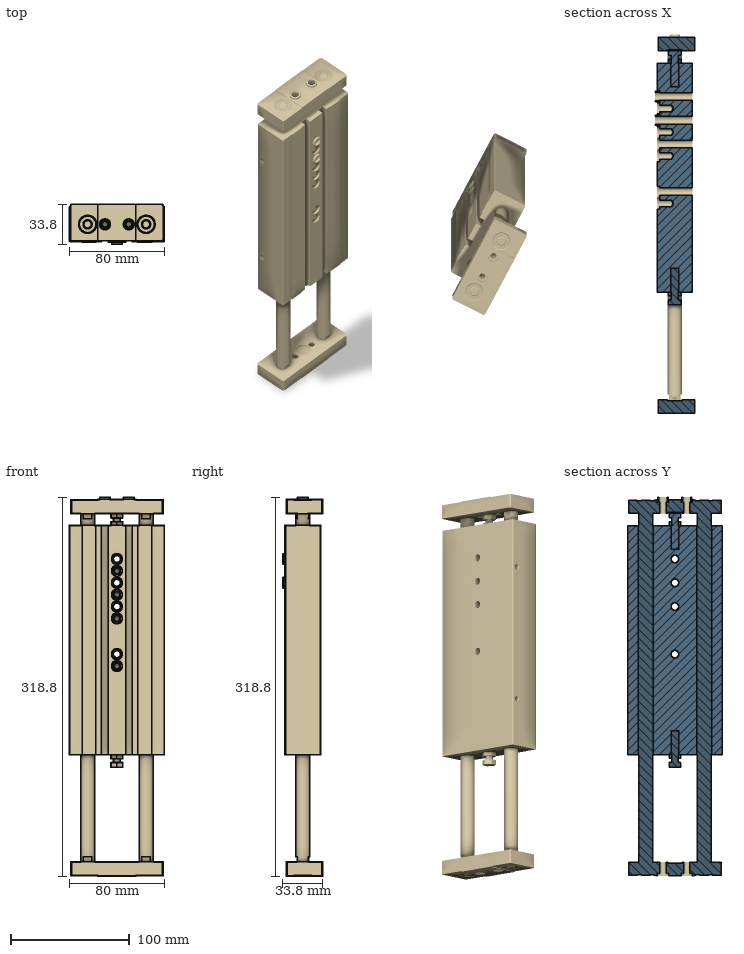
import cadquery as cq
import math

housing_width = 80.0
housing_depth = 30.0
housing_length = 193.0
corner_radius = 1.0
rail_half_width = 7.4
slot_outer_x = 13.0
slot_depth = 5.0
band_inner_x = 17.7
band_outer_x = 29.3
step_height = 0.5

through_hole_drops = (28.2, 48.2, 68.2, 108.2)
threaded_hole_drops = (38.2, 58.2, 78.2, 118.2)
sleeved_hole_drops = through_hole_drops[:2]
through_hole_diameter = 6.0
thread_core_diameter = 4.92
thread_mouth_diameter = 6.0
threaded_hole_depth = 10.0
drill_point_angle = 118.0

port_core_diameter = 4.13
port_mouth_diameter = 5.0
port_depth = 8.0
port_y = 9.8
port_drops = (40.2, 153.2)

rod_diameter = 12.0
rod_spacing = 49.2
flat_height = 4.3
flat_across = 9.7
top_gap = 10.0
bottom_gap = 90.0

yoke_width = 78.0
yoke_depth = 31.0
yoke_front = -14.0
yoke_thickness = 11.5
yoke_chamfer = 1.0
pad_width = 32.0
pad_height = 0.5
rod_end_seat_mouth = 15.0
rod_end_seat_floor = 14.0
rod_end_seat_depth = 0.5
rod_end_diameter = 8.0
rod_end_chamfer = 0.8
yoke_hole_spacing = 20.0
strike_diameter = 12.0
strike_depth = 0.7

sleeve_diameter = 9.0
sleeve_bore = 6.4
sleeve_length = 4.0
sleeve_protrusion = 1.8
sleeve_rim_radius = 0.8
sleeve_seat_depth = sleeve_length - sleeve_protrusion

bolt_diameter = 6.0
bolt_insertion = 20.0
hex_across_flats = 10.0
hex_across_corners = hex_across_flats / math.cos(math.pi / 6)
washer_face_diameter = 8.88
washer_face_height = 0.3
bolt_head_height = 4.0
nut_height = 3.2
bolt_stand_off = 10.4

housing_front = -housing_depth / 2
strip_face = housing_front + step_height
housing_end = housing_length / 2
top_yoke_inner = housing_end + top_gap
bottom_yoke_inner = -housing_end - bottom_gap
yoke_overall = yoke_thickness + pad_height
rod_xs = (-rod_spacing / 2, rod_spacing / 2)
yoke_hole_xs = (-yoke_hole_spacing / 2, yoke_hole_spacing / 2)


def round_bar(diameter, z_start, z_end, x=0.0):
    """Upright cylinder on the Y = 0 plane."""
    return (
        cq.Workplane("XY", origin=(x, 0, z_start))
        .circle(diameter / 2)
        .extrude(z_end - z_start)
    )


def block(x_range, y_range, z_range):
    """Box given by its two limits along each axis."""
    lows, highs = zip(*(sorted(limits) for limits in (x_range, y_range, z_range)))
    sizes = [high - low for low, high in zip(lows, highs)]
    return cq.Workplane("XY", origin=lows).box(*sizes, centered=False)


def blind_hole(core_diameter, mouth_diameter, depth):
    """Drilled hole running up +Z from the origin, with a 45 degree mouth and a drill point."""
    core_radius = core_diameter / 2
    mouth_radius = mouth_diameter / 2
    point_length = core_radius / math.tan(math.radians(drill_point_angle / 2))
    return (
        cq.Workplane("XZ")
        .moveTo(0, 0)
        .lineTo(mouth_radius, 0)
        .lineTo(core_radius, mouth_radius - core_radius)
        .lineTo(core_radius, depth)
        .lineTo(0, depth + point_length)
        .close()
        .revolve(360, (0, 0, 0), (0, 1, 0))
    )


def facing_front(shape, y, z):
    """Turn a shape's +Z axis to +Y and place its origin on the housing centre line."""
    return shape.rotate((0, 0, 0), (1, 0, 0), -90).translate((0, y, z))


def make_housing_profile_bar():
    """Housing bar with its raised rail, raised bands and sensor slots."""
    bar = block(
        (-housing_width / 2, housing_width / 2),
        (strip_face, housing_depth / 2),
        (-housing_end, housing_end),
    )
    bar = bar.edges("|Z").fillet(corner_radius)
    full_height = (-housing_end, housing_end)
    proud = (housing_front, strip_face)
    bar = bar.union(block((-rail_half_width, rail_half_width), proud, full_height))
    for side in (-1, 1):
        bar = bar.union(block((side * band_inner_x, side * band_outer_x), proud, full_height))
        slot = block(
            (side * rail_half_width, side * slot_outer_x),
            (strip_face, housing_front + slot_depth),
            full_height,
        )
        bar = bar.cut(slot)
    return bar


def make_housing():
    body = make_housing_profile_bar()
    seat = round_bar(sleeve_diameter, 0, sleeve_seat_depth)
    through_hole = round_bar(through_hole_diameter, 0, housing_depth)
    threaded_hole = blind_hole(thread_core_diameter, thread_mouth_diameter, threaded_hole_depth)
    for drop in through_hole_drops:
        body = body.cut(facing_front(through_hole, housing_front, housing_end - drop))
    for drop in threaded_hole_drops:
        hole_start = housing_front + sleeve_seat_depth
        body = body.cut(facing_front(threaded_hole, hole_start, housing_end - drop))
    for drop in through_hole_drops + threaded_hole_drops:
        body = body.cut(facing_front(seat, housing_front, housing_end - drop))

    port = blind_hole(port_core_diameter, port_mouth_diameter, port_depth)
    port = port.rotate((0, 0, 0), (0, 1, 0), 90)
    for drop in port_drops:
        body = body.cut(port.translate((-housing_width / 2, port_y, housing_end - drop)))

    for x in rod_xs:
        body = body.cut(round_bar(rod_diameter, -housing_end, housing_end, x))
    body = body.cut(round_bar(bolt_diameter, housing_end - bolt_insertion, housing_end))
    return body.cut(round_bar(bolt_diameter, -housing_end, bolt_insertion - housing_end))


def make_rod_end_seat(x):
    """Shallow tapered recess around a rod end, as a solid to cut away."""
    return (
        cq.Workplane("XY", origin=(x, 0, yoke_thickness - rod_end_seat_depth))
        .circle(rod_end_seat_floor / 2)
        .workplane(offset=rod_end_seat_depth)
        .circle(rod_end_seat_mouth / 2)
        .loft(ruled=True)
    )


def make_yoke():
    """Yoke plate with its inner face at Z = 0 and its raised pad on top."""
    y_range = (yoke_front, yoke_front + yoke_depth)
    plate = block((-yoke_width / 2, yoke_width / 2), y_range, (0, yoke_thickness))
    plate = plate.edges("|Z").chamfer(yoke_chamfer)
    pad = block((-pad_width / 2, pad_width / 2), y_range, (yoke_thickness, yoke_overall))
    plate = plate.union(pad)

    for x in rod_xs:
        plate = plate.cut(make_rod_end_seat(x))
        rod_end = round_bar(rod_end_diameter, 0, yoke_thickness, x)
        plate = plate.union(rod_end.faces(">Z").chamfer(rod_end_chamfer))

    core = blind_hole(thread_core_diameter, thread_mouth_diameter, yoke_overall)
    for x in yoke_hole_xs:
        plate = plate.cut(core.translate((x, 0, 0)))
        plate = plate.cut(round_bar(sleeve_diameter, yoke_overall - sleeve_seat_depth, yoke_overall, x))
    return plate.cut(round_bar(strike_diameter, 0, strike_depth))


def make_rod(x):
    """Guide rod with a front and a rear flat at each end."""
    rod = round_bar(rod_diameter, bottom_yoke_inner, top_yoke_inner, x)
    radius = rod_diameter / 2
    for z_start in (bottom_yoke_inner, top_yoke_inner - flat_height):
        for side in (-1, 1):
            waste = block(
                (x - radius, x + radius),
                (side * flat_across / 2, side * radius),
                (z_start, z_start + flat_height),
            )
            rod = rod.cut(waste)
    return rod


def make_slide():
    """Both yoke plates and both guide rods, which move as one piece."""
    yoke = make_yoke()
    slide = yoke.translate((0, 0, top_yoke_inner))
    lower_yoke = yoke.mirror("XY").translate((0, 0, bottom_yoke_inner))
    slide = slide.union(lower_yoke)
    for x in rod_xs:
        slide = slide.union(make_rod(x))
    return slide


def make_sleeve(rounded_end):
    """Centring sleeve along +Z, with the outer rim rounded at the end that stands out."""
    return (
        cq.Workplane("XY")
        .circle(sleeve_diameter / 2)
        .extrude(sleeve_length)
        .faces(rounded_end)
        .edges()
        .fillet(sleeve_rim_radius)
        .cut(round_bar(sleeve_bore, 0, sleeve_length))
    )


def hexagon(z_start, height):
    """Hexagonal prism with two of its flats facing -X and +X."""
    return (
        cq.Workplane("XY", origin=(0, 0, z_start))
        .transformed(rotate=(0, 0, 30))
        .polygon(6, hex_across_corners)
        .extrude(height)
    )


def make_stop_bolt():
    head_start = bolt_stand_off - bolt_head_height
    shank = round_bar(bolt_diameter, -bolt_insertion, head_start)
    washer_face = round_bar(washer_face_diameter, head_start - washer_face_height, head_start)
    return hexagon(head_start, bolt_head_height).union(shank).union(washer_face)


def make_lock_nut():
    return hexagon(0, nut_height).cut(round_bar(bolt_diameter, 0, nut_height))


bodies = [make_housing().val(), make_slide().val()]

front_sleeve = make_sleeve("<Z")
for drop in sleeved_hole_drops:
    sleeve_start = housing_front - sleeve_protrusion
    bodies.append(facing_front(front_sleeve, sleeve_start, housing_end - drop).val())

yoke_sleeve = make_sleeve(">Z")
for x in yoke_hole_xs:
    sleeve_start = top_yoke_inner + yoke_overall - sleeve_seat_depth
    bodies.append(yoke_sleeve.translate((x, 0, sleeve_start)).val())

for end_part in (make_stop_bolt(), make_lock_nut()):
    top_copy = end_part.translate((0, 0, housing_end))
    bodies.append(top_copy.val())
    bodies.append(top_copy.mirror("XY").val())

result = cq.Compound.makeCompound(bodies)